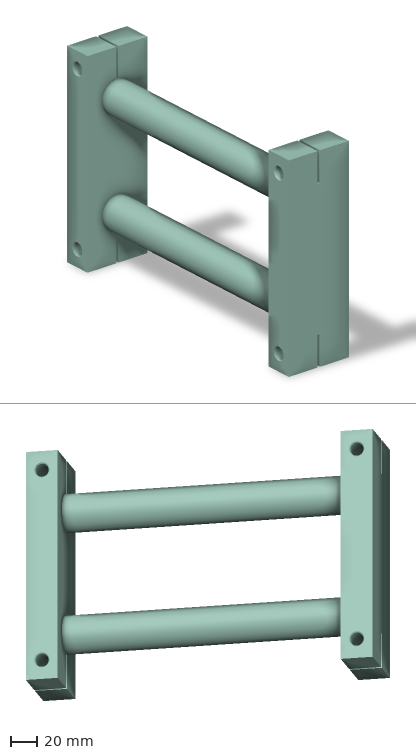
import cadquery as cq

length = 270.0
depth = 58.0
height = 180.0

block_thickness = 24.8
rod_diameter = 29.7
rod_spacing = 96.0

slit_width = 2.5
slit_depth = (height - rod_spacing - rod_diameter) / 2

hole_diameter = 10.3
hole_chamfer = 0.8
hole_spacing = 150.0

block_x = (length - block_thickness) / 2


def make_block():
    """One clamp block centred on the origin."""
    block = cq.Workplane("XY").box(block_thickness, depth, height)
    slit = cq.Workplane("XY").box(block_thickness, slit_width, slit_depth)
    slit_z = (height - slit_depth) / 2
    for side in (-1, 1):
        block = block.cut(slit.translate((0, 0, side * slit_z)))
    block = (
        block.faces("<Y")
        .workplane(origin=(0, 0, 0))
        .pushPoints([(0, -hole_spacing / 2), (0, hole_spacing / 2)])
        .hole(hole_diameter)
    )
    return block.faces("<Y or >Y").edges("%CIRCLE").chamfer(hole_chamfer)


def make_rod():
    """One rod along X, between the inner faces of the blocks."""
    rod_length = length - 2 * block_thickness
    rod = cq.Workplane("YZ").circle(rod_diameter / 2).extrude(rod_length)
    return rod.translate((-rod_length / 2, 0, 0))


result = make_block().translate((-block_x, 0, 0)).union(make_block().translate((block_x, 0, 0)))
for side in (-1, 1):
    result = result.union(make_rod().translate((0, 0, side * rod_spacing / 2)))